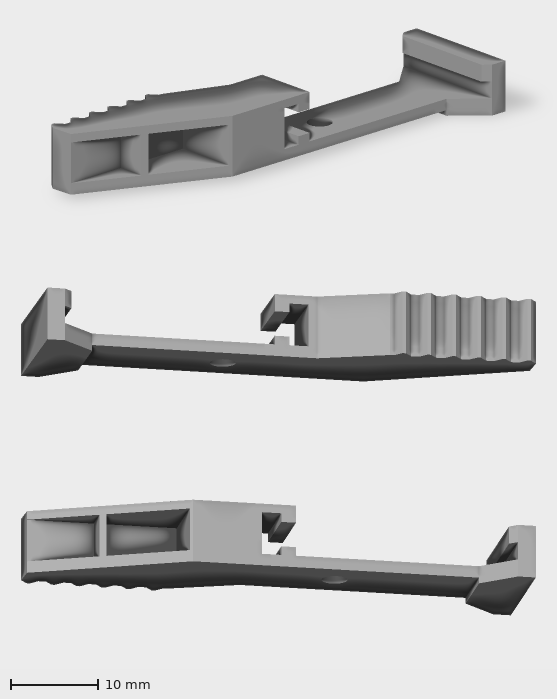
import cadquery as cq

length = 57.3
half_width = 4.0
shell = 0.7
strip_thickness = 1.4
arm_bottom = shell
arm_top = arm_bottom + strip_thickness
top = 8.1

cap_half_width = 7.5
cap_top = 6.2
cap_wall = shell + strip_thickness
lip_reach = 3.0
lip_bottom = 4.1
cap_reach = 5.95

mouth_front = 29.95
mouth_back = 26.0
jaw_length = 1.7
roof_thickness = 1.05
upper_jaw_height = 2.05
lower_jaw_height = 1.05
knee_y = 25.0
slant_start_y = 17.95
tip_x = -half_width
tip_y = 0.1
roof_bottom = top - roof_thickness

tooth_count = 6
tooth_pitch = 2.9
tooth_crest = 0.4
tooth_flank = 0.8
tooth_base = tooth_crest + 2 * tooth_flank
root_x = -7.0
crest_x = -8.0
root_end_y = 17.1

rib_start_y = 7.9
rib_end_y = 8.65
pocket_end_y = 17.6

hole_diameter = 3.0
hole_y = 35.25


def box(x_range, y_range, z_range):
    """Box between two limits on each axis."""
    sizes = [high - low for low, high in (x_range, y_range, z_range)]
    corner = (x_range[0], y_range[0], z_range[0])
    return cq.Workplane("XY").box(*sizes, centered=False).translate(corner)


def across_arm(y_range, z_range):
    """Box over the full width of the arm."""
    return box((-half_width, half_width), y_range, z_range)


def toothed_head():
    """Head outline with trapezoidal teeth along its -X side."""
    points = [
        (tip_x, tip_y),
        (half_width, slant_start_y),
        (half_width, mouth_front),
        (-half_width, mouth_front),
        (-half_width, knee_y),
        (root_x, root_end_y),
    ]
    for index in reversed(range(tooth_count)):
        base_y = index * tooth_pitch
        points += [
            (root_x, base_y + tooth_base),
            (crest_x, base_y + tooth_base - tooth_flank),
            (crest_x, base_y + tooth_flank),
            (root_x, base_y),
        ]
    return cq.Workplane("XY", origin=(0, 0, arm_bottom)).polyline(points).close().extrude(top - arm_bottom)


def mouth():
    """C-shaped opening across the head, narrower between its two jaws."""
    jaw_back = mouth_front - jaw_length
    chamber = across_arm((mouth_back, jaw_back), (arm_top, roof_bottom))
    throat = across_arm((jaw_back, mouth_front), (arm_top + lower_jaw_height, top - upper_jaw_height))
    return chamber.union(throat)


def pocket(start_y, end_y):
    """Recess opening through the slanted side of the head."""
    return box((tip_x, half_width), (start_y, end_y), (arm_top, roof_bottom))


def embedded_hook():
    """Arm end that turns up inside the cap and forward into its lip."""
    hook_end = length - shell
    hook_top = cap_top - shell
    upright = across_arm((length - cap_wall, hook_end), (arm_bottom, hook_top))
    finger = across_arm((length - lip_reach, hook_end), (lip_bottom, hook_top))
    return upright.union(finger)


def make_lever():
    arm = across_arm((mouth_front, length - cap_wall), (arm_bottom, arm_top))
    head = toothed_head().cut(mouth())
    head = head.cut(pocket(tip_y, rib_start_y)).cut(pocket(rib_end_y, pocket_end_y))
    hole = cq.Workplane("XY").center(0, hole_y).circle(hole_diameter / 2).extrude(top)
    return head.union(arm).union(embedded_hook()).cut(hole)


def make_end_cap(lever):
    """Cap with gussets and a lip, recessed to fit the end of the lever."""
    gusset_y = length - cap_reach
    shoulder_y = length - cap_wall
    outline = [
        (-half_width, gusset_y),
        (half_width, gusset_y),
        (cap_half_width, shoulder_y),
        (cap_half_width, length),
        (-cap_half_width, length),
        (-cap_half_width, shoulder_y),
    ]
    cap = cq.Workplane("XY").polyline(outline).close().extrude(cap_top)
    full_width = (-cap_half_width, cap_half_width)
    under_lip = box(full_width, (gusset_y, shoulder_y), (arm_top, lip_bottom))
    before_lip = box(full_width, (gusset_y, length - lip_reach), (arm_top, cap_top))
    return cap.cut(under_lip).cut(before_lip).cut(lever)


lever = make_lever()
end_cap = make_end_cap(lever)

result = cq.Compound.makeCompound([lever.solids().val(), end_cap.solids().val()])